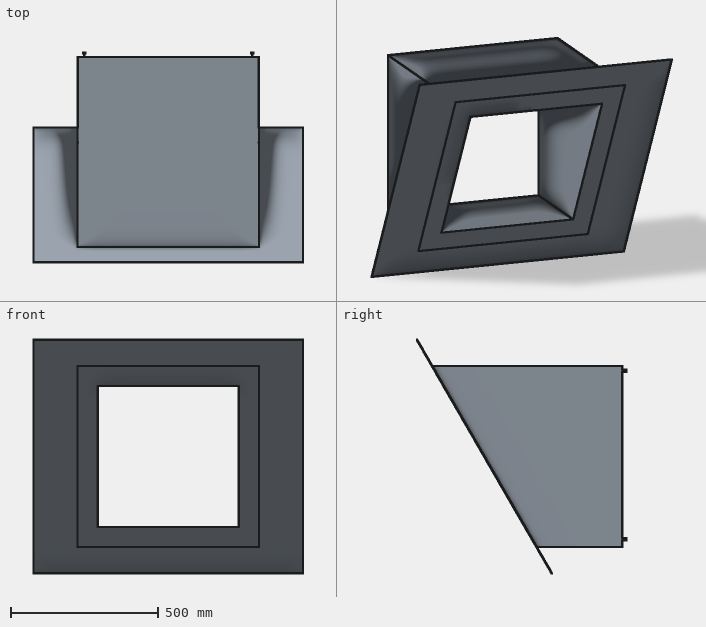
import cadquery as cq
import math

flange_side = 915.0
flange_thickness = 1.0
flange_tilt = 60.0

duct_side = 615.0
bore_side = 478.0
overall_depth = 712.0

stud_spacing = 571.0
stud_rise = 5.5
stud_length = 15.0
stud_head_width = 8.0
stud_head_length = 4.0
stud_web_thickness = 2.0
stud_web_height = 8.0
stud_neck_length = 5.0
stud_neck_height = 2.0

tilt = math.radians(flange_tilt)
rise = flange_side * math.sin(tilt)
run = flange_side * math.cos(tilt)
sheet_y = flange_thickness * math.sin(tilt)
sheet_z = flange_thickness * math.cos(tilt)

bottom_z = -(rise + sheet_z) / 2
duct_back_y = overall_depth - stud_length - run


def front_face_y(z):
    """Y of the flange's front face at height z."""
    return (bottom_z - z) / math.tan(tilt)


def extrude_along_x(outline, width):
    """Extrude a YZ outline by width, centred on X = 0."""
    return cq.Workplane("YZ").polyline(outline).close().extrude(width / 2, both=True)


def make_flange():
    outline = [
        (0, bottom_z),
        (-run, bottom_z + rise),
        (sheet_y - run, bottom_z + rise + sheet_z),
        (sheet_y, bottom_z + sheet_z),
    ]
    return extrude_along_x(outline, flange_side)


def make_duct():
    """Square duct whose slanted front end is flush with the flange's front face."""
    top = duct_side / 2
    outline = [
        (front_face_y(-top), -top),
        (front_face_y(top), top),
        (duct_back_y, top),
        (duct_back_y, -top),
    ]
    return extrude_along_x(outline, duct_side)


def make_bore():
    return (
        cq.Workplane("XZ", origin=(0, -run, 0))
        .rect(bore_side, bore_side)
        .extrude(-overall_depth)
    )


def make_stud(x, z):
    """Flat upright web, a narrower neck and a square head, stacked along +Y."""
    web_length = stud_length - stud_neck_length - stud_head_length
    return (
        cq.Workplane("XZ", origin=(x, duct_back_y, z))
        .rect(stud_web_thickness, stud_web_height)
        .extrude(-web_length)
        .faces(">Y").workplane()
        .rect(stud_web_thickness, stud_neck_height)
        .extrude(stud_neck_length)
        .faces(">Y").workplane()
        .rect(stud_head_width, stud_head_width)
        .extrude(stud_head_length)
    )


result = make_flange().union(make_duct(), clean=False).cut(make_bore(), clean=False)
for side_x in (-1, 1):
    for side_z in (-1, 1):
        stud_z = side_z * stud_spacing / 2 + stud_rise
        stud = make_stud(side_x * stud_spacing / 2, stud_z)
        result = result.union(stud, clean=False)